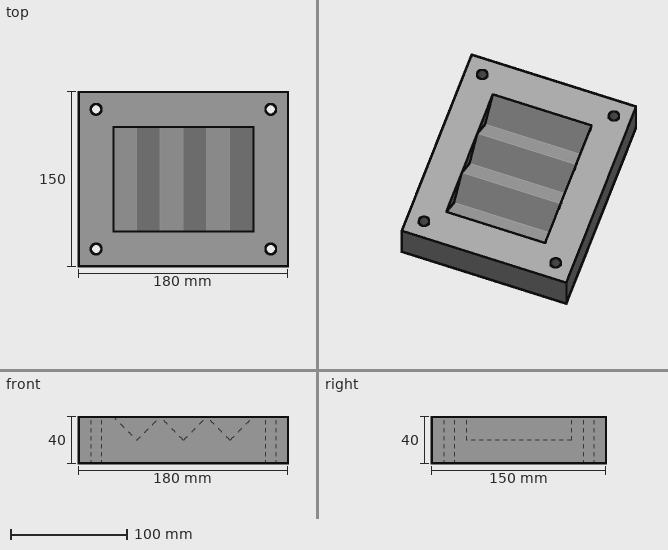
import cadquery as cq

length = 180.0
width = 150.0
height = 40.0

hole_diameter = 9.0
hole_spacing_x = length * 5 / 6
hole_spacing_y = width * 4 / 5

groove_count = 3
pocket_length = length * 2 / 3
pocket_width = width * 3 / 5
groove_pitch = pocket_length / groove_count
groove_depth = groove_pitch / 2
groove_fillet = 0.5
cutter_overshoot = 1.8


def groove_profile_points():
    """Outline of the grooves and the space above them, as (x, z) pairs."""
    left = -pocket_length / 2
    right = pocket_length / 2
    cutter_top = height + cutter_overshoot
    points = [(left, cutter_top), (left, height)]
    for index in range(groove_count):
        groove_start = left + index * groove_pitch
        valley = (groove_start + groove_pitch / 2, height - groove_depth)
        ridge = (groove_start + groove_pitch, height)
        points += [valley, ridge]
    points.append((right, cutter_top))
    return points


def make_block():
    return (
        cq.Workplane("XY")
        .box(length, width, height, centered=(True, True, False))
        .faces(">Z")
        .workplane()
        .rect(hole_spacing_x, hole_spacing_y, forConstruction=True)
        .vertices()
        .hole(hole_diameter)
    )


def make_pocket():
    """Cutting body with rounded valleys and ridges; its outer rim stays sharp."""
    return (
        cq.Workplane("XZ")
        .polyline(groove_profile_points())
        .close()
        .extrude(pocket_width / 2, both=True)
        .edges("|Y exc (<X or >X)")
        .fillet(groove_fillet)
    )


result = make_block().cut(make_pocket())